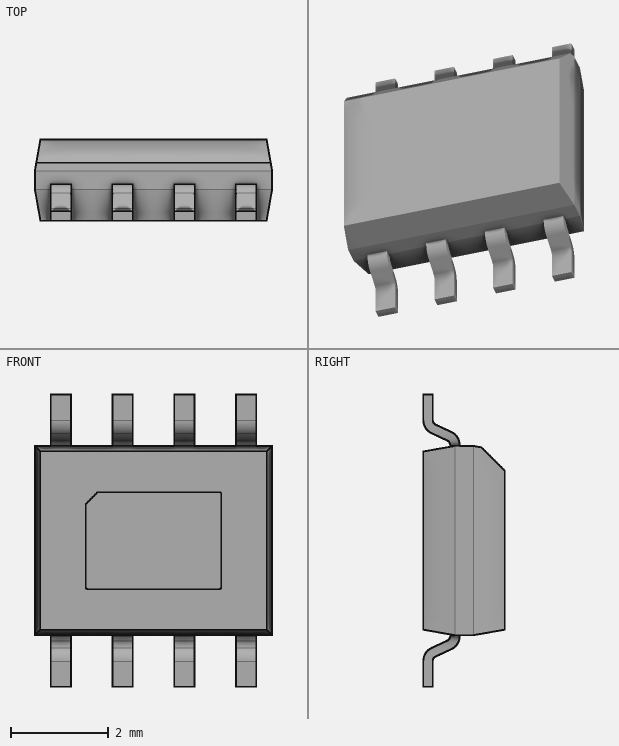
import cadquery as cq
import math

body_width = 4.89
body_height = 3.9
depth = 1.68
total_height = 6.02

band_depth = 0.38
draft_angle = 10.0
bevel = 0.51
draft_depth = (depth - band_depth) / 2

pad_width = 2.8
pad_height = 2.0
pad_depth = 0.2
pad_chamfer = 0.25
pad_fillet = 0.05

leads_per_row = 4
lead_pitch = 1.27
lead_width = 0.42
lead_thickness = 0.2
lead_stub_y = 0.555
foot_length = 0.53
bend_angle = 65.0
bend_inner_radius = 0.1
bend_outer_radius = bend_inner_radius + lead_thickness


def make_pad():
    """Rectangular plate with one chamfered and three rounded corners."""
    pad = cq.Workplane("XZ", origin=(0, pad_depth, 0)).rect(pad_width, pad_height).extrude(pad_depth)
    pad = pad.edges("|Y and <X and >Z").chamfer(pad_chamfer)
    return pad.edges("|Y and (>X or <Z)").fillet(pad_fillet)


def body_outline(y):
    """Full housing rectangle at the given Y; a positive extrusion runs toward the seating face."""
    return cq.Workplane("XZ", origin=(0, y, 0)).rect(body_width, body_height)


def make_housing(pad):
    """Block drafted to front and back, bevelled along its top back edge, with the pad recess."""
    band_front = draft_depth
    band_back = draft_depth + band_depth
    front = body_outline(band_front).extrude(draft_depth, taper=draft_angle)
    band = body_outline(band_back).extrude(band_depth)
    back = body_outline(band_back).extrude(-draft_depth, taper=draft_angle)

    top = body_height / 2
    bevel_corner = (
        cq.Workplane("YZ", origin=(-body_width / 2, 0, 0))
        .polyline([(depth - bevel, top), (depth, top), (depth, top - bevel)])
        .close()
        .extrude(body_width)
    )
    return front.union(band).union(back).cut(bevel_corner).cut(pad)


def bend_point(center, radius, angle):
    """Point in (Y, Z) on a bend, its angle measured from the +Y direction."""
    radians = math.radians(angle)
    return (center[0] + radius * math.cos(radians), center[1] + radius * math.sin(radians))


def make_upper_lead(x_center):
    """Lead of the upper row: upright foot, two opposite bends and a short stub."""
    tip_z = total_height / 2
    root_z = body_height / 2
    foot_bend = (bend_outer_radius, tip_z - foot_length)
    stub_bend_y = lead_stub_y - bend_inner_radius

    turn = math.radians(bend_angle)
    bend_radii = bend_outer_radius + bend_inner_radius
    slope_y = stub_bend_y - foot_bend[0] + bend_radii * math.cos(turn)
    slope_drop = bend_radii * math.sin(turn) + slope_y / math.tan(turn)
    stub_bend = (stub_bend_y, foot_bend[1] - slope_drop)

    half_turn = bend_angle / 2
    profile = (
        cq.Workplane("YZ", origin=(x_center - lead_width / 2, 0, 0))
        .moveTo(0, tip_z)
        .lineTo(*bend_point(foot_bend, bend_outer_radius, 180))
        .threePointArc(
            bend_point(foot_bend, bend_outer_radius, 180 + half_turn),
            bend_point(foot_bend, bend_outer_radius, 180 + bend_angle),
        )
        .lineTo(*bend_point(stub_bend, bend_inner_radius, bend_angle))
        .threePointArc(
            bend_point(stub_bend, bend_inner_radius, half_turn),
            bend_point(stub_bend, bend_inner_radius, 0),
        )
        .lineTo(lead_stub_y, root_z)
        .lineTo(lead_stub_y + lead_thickness, root_z)
        .lineTo(*bend_point(stub_bend, bend_outer_radius, 0))
        .threePointArc(
            bend_point(stub_bend, bend_outer_radius, half_turn),
            bend_point(stub_bend, bend_outer_radius, bend_angle),
        )
        .lineTo(*bend_point(foot_bend, bend_inner_radius, 180 + bend_angle))
        .threePointArc(
            bend_point(foot_bend, bend_inner_radius, 180 + half_turn),
            bend_point(foot_bend, bend_inner_radius, 180),
        )
        .lineTo(lead_thickness, tip_z)
        .close()
    )
    return profile.extrude(lead_width)


def make_leads():
    """Upper row of leads and its mirror image below the housing."""
    leads = []
    for index in range(leads_per_row):
        x_center = (index - (leads_per_row - 1) / 2) * lead_pitch
        upper = make_upper_lead(x_center)
        leads.append(upper.val())
        leads.append(upper.mirror("XY").val())
    return leads


pad = make_pad()
housing = make_housing(pad)
result = cq.Compound.makeCompound([housing.val(), pad.val(), *make_leads()])